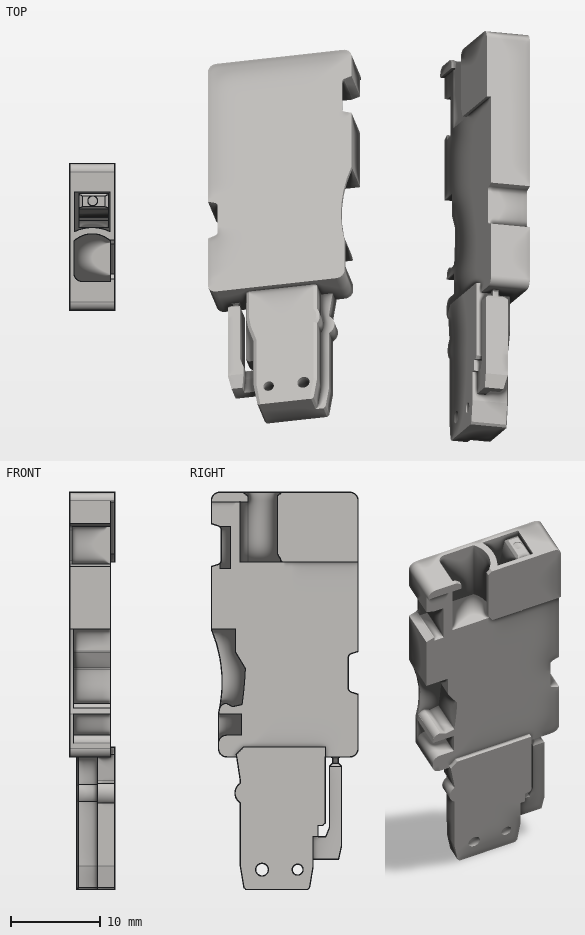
import cadquery as cq
import math


thickness = 5.1
depth = 16.5
height = 44.65

core_thickness = 4.6
housing_bottom = 14.9
corner_radius = 0.95
lower_front = 0.8
hollow_top = 29.25
hollow_bottom = 19.75
hollow_middle = (1.2, 24.0)

notch_depth = 1.1
notch_mouth = 4.8
notch_taper = 0.35
notch_radius = 0.45
front_notch_z = 38.7
back_notch_z = 24.35
notch_skin = 0.3
deep_notch_depth = 2.15
deep_notch_height = 4.2
groove_front = 1.0
groove_floor = 36.1

skin = 0.45
recess_throat = 2.7
throat_z = 26.7
recess_deep = 3.83
deep_z = 24.85
recess_wall_bow = 0.05
recess_back = 3.46
recess_bend_radius = 0.35
rib_top = 20.8
rib_groove = (2.4, 20.55)
rib_shoulder = (1.75, 20.9)
rib_brow = (1.2, 20.75)
rib_nose = (0.95, 20.4)
lower_recess_back = 3.4
lower_recess_floor = 17.35
lower_recess_lip = 16.4
lower_recess_roll = 0.9

scoop_left = 0.5
scoop_right = core_thickness
scoop_front = 3.25
scoop_shoulder = 7.8
scoop_crown = 8.6
scoop_corner_radius = 0.9
scoop_floor = 36.8

rim_height = 1.1
rib_top_front = 7.9
rib_top_drop = 0.4
rib_front = 7.45
lip_tab_start = 3.55
lip_tab_end = 4.1
lip_tab_drop = 0.45
rib_foot_slope = 0.5
rib_foot_height = 0.9

pocket_left = 0.55
pocket_right = 4.55
pocket_back = 13.3
pocket_front = 8.85
pocket_front_crown = 9.3
pocket_floor = 38.0

block_left = 1.05
block_right = 4.4
block_back = 13.1
block_front = 11.4
block_top = 44.6
block_edge_bevel = 0.25
block_edge_drop = 0.35
block_slope_foot = 10.75
block_slope_z = 41.0
valley_back = 10.45
valley_front = 10.1
valley_z = 39.3
block_foot_front = 9.3
block_foot_z = 39.9
block_side_chamfer = 0.4
block_side_drop = 0.25
screw_diameter = 1.1
screw_depth = 0.1
screw_x = 2.6
screw_y = 12.3

leaf_left = 0.8
leaf_split = 3.15
narrow_front = 4.17
narrow_back = 12.3
wide_front = 3.25
wide_back = 12.8
waist_back = 11.45
waist_top = 8.4
shoulder_bottom = 11.5
shoulder_bend_y = 12.1
shoulder_bend_z = 10.3
leaf_tip_start = 2.65
tip_inset = 0.4
tip_back = 11.05
tip_blunting = 0.25
bump_z = 10.85
narrow_bump_half = 0.95
narrow_bump_rise = 0.3
wide_bump_half = 1.1
wide_bump_rise = 0.6
bump_lead = 0.3
edge_chamfer_x = 0.2
edge_chamfer_y = 0.35
shelf_height = 1.1
shelf_front = 2.8
shelf_slope = 0.8
slot_front = 12.0
slot_top = 7.2
slot_bevel = 0.3

hole_z = 2.25
small_hole_y = 9.7
small_hole_diameter = 1.2
large_hole_y = 5.7
large_hole_diameter = 1.4

pin_left = 2.0
pin_right = 4.6
pin_front = 13.25
pin_back = 14.65
pin_top = 14.2
pin_top_bevel = 0.35
pin_bottom = 3.4
pin_foot_front = 12.85
pin_foot_lean = 0.2
pin_flare_height = 1.0
pin_taper_height = 1.55
pin_taper_y = 0.35
pin_taper_x = 0.4
neck_width = 0.65
neck_flare = 0.15
arm_top = 5.95
arm_front = 11.0

overlap = 0.6


def profile(points):
    """Closed straight-sided outline in the YZ plane."""
    return cq.Workplane("YZ").polyline(points).close()


def slab(points, x_start, x_end):
    """Outline in YZ extruded from x_start to x_end."""
    return profile(points).extrude(x_end - x_start).translate((x_start, 0, 0))


def box(x_range, y_range, z_range):
    size = [end - start for start, end in (x_range, y_range, z_range)]
    corner = (x_range[0], y_range[0], z_range[0])
    return cq.Workplane("XY").box(*size, centered=False).translate(corner)


def latch_notch(edge_y, inward, middle_z):
    """Tapered notch; inward is +1 on the front edge and -1 on the back edge."""
    half_mouth = notch_mouth / 2
    half_floor = half_mouth - notch_taper
    floor_y = edge_y + inward * notch_depth
    points = [
        (edge_y, middle_z - half_mouth),
        (floor_y, middle_z - half_floor),
        (floor_y, middle_z + half_floor),
        (edge_y, middle_z + half_mouth),
    ]
    floor_side = ">Y" if inward > 0 else "<Y"
    return slab(points, 0, thickness).faces(floor_side).edges("|X").fillet(notch_radius)


def housing_blank():
    outline = (
        cq.Workplane("YZ")
        .moveTo(0, height)
        .lineTo(0, hollow_top)
        .threePointArc(hollow_middle, (lower_front, hollow_bottom))
        .lineTo(lower_front, housing_bottom)
        .lineTo(depth, housing_bottom)
        .lineTo(depth, height)
        .close()
    )
    blank = outline.extrude(thickness)
    blank = blank.faces("<Z or >Z").edges("|X").fillet(corner_radius)
    blank = blank.cut(latch_notch(0, 1, front_notch_z))
    return blank.cut(latch_notch(depth, -1, back_notch_z))


def deep_notch():
    """Deeper floor of the front notch, open on the +X side."""
    z_range = (front_notch_z - deep_notch_height / 2, front_notch_z + deep_notch_height / 2)
    pocket = box((notch_skin, thickness), (0, deep_notch_depth), z_range)
    groove = box((notch_skin, thickness), (groove_front, deep_notch_depth), (groove_floor, front_notch_z))
    return pocket.union(groove)


def side_relief():
    """Material taken off the +X side, leaving the top rim and the rib behind the scoop."""
    rim_bottom = height - rim_height
    points = [
        (0, housing_bottom),
        (0, rim_bottom),
        (lip_tab_end, rim_bottom),
        (lip_tab_end, height - lip_tab_drop),
        (lip_tab_start, height),
        (rib_top_front, height),
        (rib_front, height - rib_top_drop),
        (rib_front, scoop_floor + rib_foot_height),
        (rib_front + rib_foot_slope, scoop_floor),
        (depth, scoop_floor),
        (depth, housing_bottom),
    ]
    return slab(points, core_thickness, thickness)


def upper_recess():
    """Finger recess that narrows to a throat, with the grip rib as its floor."""
    wall_middle_y = (recess_deep + recess_back) / 2 + recess_wall_bow
    wall_middle = (wall_middle_y, (deep_z + rib_top) / 2)
    outline = (
        cq.Workplane("YZ")
        .moveTo(0, hollow_top)
        .lineTo(recess_throat, hollow_top)
        .lineTo(recess_throat, throat_z)
        .lineTo(recess_deep, deep_z)
        .threePointArc(wall_middle, (recess_back, rib_top))
        .lineTo(*rib_groove)
        .lineTo(*rib_shoulder)
        .threePointArc(rib_brow, rib_nose)
        .lineTo(0, rib_nose[1])
        .close()
    )
    cutter = outline.extrude(thickness - skin).translate((skin, 0, 0))
    middle_x = (skin + thickness) / 2
    for bend in ((recess_throat, throat_z), (recess_deep, deep_z)):
        edge = cq.selectors.NearestToPointSelector((middle_x, *bend))
        cutter = cutter.edges(edge).fillet(recess_bend_radius)
    return cutter


def lower_recess():
    """Recess below the grip rib, its floor rolling down to the lip."""
    roll_end = lower_front + lower_recess_roll
    roll_height = lower_recess_floor - lower_recess_lip
    mid_angle = math.radians(45)
    roll_middle = (
        roll_end - lower_recess_roll * math.sin(mid_angle),
        lower_recess_lip + roll_height * math.cos(mid_angle),
    )
    outline = (
        cq.Workplane("YZ")
        .moveTo(0, hollow_bottom)
        .lineTo(lower_recess_back, hollow_bottom)
        .lineTo(lower_recess_back, lower_recess_floor)
        .lineTo(roll_end, lower_recess_floor)
        .threePointArc(roll_middle, (lower_front, lower_recess_lip))
        .lineTo(0, lower_recess_lip)
        .close()
    )
    return outline.extrude(thickness - skin).translate((skin, 0, 0))


def scoop():
    middle_x = (scoop_left + scoop_right) / 2
    outline = (
        cq.Workplane("XY")
        .moveTo(scoop_right, scoop_front)
        .lineTo(scoop_right, scoop_shoulder)
        .threePointArc((middle_x, scoop_crown), (scoop_left, scoop_shoulder))
        .lineTo(scoop_left, scoop_front)
        .close()
    )
    cutter = outline.extrude(height - scoop_floor).translate((0, 0, scoop_floor))
    return cutter.edges("|Z and <X and <Y").fillet(scoop_corner_radius)


def terminal_pocket():
    middle_x = (pocket_left + pocket_right) / 2
    outline = (
        cq.Workplane("XY")
        .moveTo(pocket_left, pocket_back)
        .lineTo(pocket_left, pocket_front)
        .threePointArc((middle_x, pocket_front_crown), (pocket_right, pocket_front))
        .lineTo(pocket_right, pocket_back)
        .close()
    )
    return outline.extrude(height - pocket_floor).translate((0, 0, pocket_floor))


def clamp_block():
    points = [
        (block_back, pocket_floor - overlap),
        (block_back, block_top - block_edge_drop),
        (block_back - block_edge_bevel, block_top),
        (block_front + block_edge_bevel, block_top),
        (block_front, block_top - block_edge_drop),
        (block_slope_foot, block_slope_z),
        (valley_back, valley_z),
        (valley_front, valley_z),
        (block_foot_front, block_foot_z),
        (block_foot_front, pocket_floor - overlap),
    ]
    block = slab(points, block_left, block_right)
    for side_x, inward in ((block_left, 1), (block_right, -1)):
        bevel_points = [
            (side_x, block_top),
            (side_x + inward * block_side_chamfer, block_top),
            (side_x, block_top - block_side_drop),
        ]
        block = block.cut(cq.Workplane("XZ").polyline(bevel_points).close().extrude(-depth))
    screw = (
        cq.Workplane("XY", origin=(screw_x, screw_y, block_top))
        .circle(screw_diameter / 2)
        .extrude(-screw_depth)
    )
    return block.cut(screw)


def leaf(x_range, front_points, bump, tip, back_points):
    """Leaf with a rounded latch bump on its front edge and a blunted tip.

    front_points lead down to the bump and back_points lead up from the tip;
    bump is (front edge, mid height, half length, rise) and tip is (front, back).
    """
    front, middle_z, half_length, rise = bump
    tip_front, tip_back = tip
    outline = cq.Workplane("YZ").polyline(front_points)
    outline = (
        outline.lineTo(front, middle_z + half_length)
        .threePointArc((front - rise, middle_z), (front, middle_z - half_length))
        .lineTo(front, leaf_tip_start)
        .lineTo(tip_front, tip_blunting)
        .lineTo(tip_front + tip_blunting, 0)
        .lineTo(tip_back - tip_blunting, 0)
        .lineTo(tip_back, tip_blunting)
    )
    for point in back_points:
        outline = outline.lineTo(*point)
    x_start, x_end = x_range
    return outline.close().extrude(x_end - x_start).translate((x_start, 0, 0))


def narrow_leaf():
    top = housing_bottom + overlap
    back_points = [
        (waist_back, leaf_tip_start),
        (waist_back, waist_top),
        (shoulder_bend_y, shoulder_bend_z),
        (narrow_back, shoulder_bottom),
        (narrow_back, top),
    ]
    bump = (narrow_front, bump_z, narrow_bump_half, narrow_bump_rise)
    blank = leaf(
        (leaf_left, leaf_split),
        [(narrow_front, top), (narrow_front, shoulder_bottom)],
        bump,
        (narrow_front + tip_inset, tip_back),
        back_points,
    )
    sides = cq.selectors.BoxSelector((0, 0, tip_blunting), (thickness, depth, housing_bottom))
    return blank.faces("<X").edges(sides).chamfer(edge_chamfer_x, edge_chamfer_y)


def wide_leaf():
    shelf_top = housing_bottom + shelf_height
    back_points = [
        (waist_back, leaf_tip_start),
        (waist_back, arm_top),
        (slot_front, arm_top),
        (slot_front, slot_top),
        (wide_back - slot_bevel, slot_top),
        (wide_back, slot_top + slot_bevel),
        (wide_back, shelf_top),
    ]
    front_points = [
        (shelf_front + shelf_slope, shelf_top),
        (shelf_front, shelf_top - shelf_slope),
        (wide_front, bump_z + wide_bump_half + bump_lead),
    ]
    bump = (wide_front, bump_z, wide_bump_half, wide_bump_rise)
    return leaf(
        (leaf_split, thickness),
        front_points,
        bump,
        (wide_front + tip_inset, tip_back),
        back_points,
    )


def plug_holes():
    holes = None
    for hole_y, diameter in ((small_hole_y, small_hole_diameter), (large_hole_y, large_hole_diameter)):
        hole = cq.Workplane("YZ", origin=(0, hole_y, hole_z)).circle(diameter / 2).extrude(thickness)
        holes = hole if holes is None else holes.union(hole)
    return holes


def beveled_foot(points, x_start):
    """Outline in YZ extruded to the pin's +X side, its foot sloping in from the -X side."""
    foot = slab(points, x_start, pin_right)
    bevel = (
        cq.Workplane("XZ")
        .polyline(
            [
                (x_start, pin_bottom),
                (x_start, pin_bottom + pin_taper_height),
                (x_start + pin_taper_x, pin_bottom),
            ]
        )
        .close()
        .extrude(-depth)
    )
    return foot.cut(bevel)


def contact_pin():
    taper_z = pin_bottom + pin_taper_height
    pin = beveled_foot(
        [
            (pin_back - pin_taper_y, pin_bottom),
            (pin_back, taper_z),
            (pin_back, pin_top),
            (pin_front, pin_top),
            (pin_front, arm_top + pin_flare_height),
            (pin_foot_front, arm_top),
            (pin_foot_front, taper_z),
            (pin_foot_front + pin_foot_lean, pin_bottom),
        ],
        pin_left,
    )
    pin = pin.faces(">Z").edges().chamfer(pin_top_bevel)
    arm_back = (pin_front + pin_back) / 2
    arm = beveled_foot(
        [
            (arm_front, pin_bottom),
            (arm_back, pin_bottom),
            (arm_back, arm_top),
            (arm_front, arm_top),
        ],
        leaf_split,
    )
    return pin.union(arm).union(pin_neck())


def pin_neck():
    """Square neck, widening where it meets the housing."""
    middle_x = (pin_left + pin_right) / 2
    middle_y = (pin_front + pin_back) / 2
    half = neck_width / 2
    flared_half = half + neck_flare
    points = [
        (middle_y - half, pin_top - overlap),
        (middle_y - half, housing_bottom - neck_flare),
        (middle_y - flared_half, housing_bottom),
        (middle_y - flared_half, housing_bottom + overlap),
        (middle_y + flared_half, housing_bottom + overlap),
        (middle_y + flared_half, housing_bottom),
        (middle_y + half, housing_bottom - neck_flare),
        (middle_y + half, pin_top - overlap),
    ]
    return slab(points, middle_x - half, middle_x + half)


body = housing_blank().cut(deep_notch()).cut(side_relief()).cut(upper_recess()).cut(lower_recess())
body = body.cut(scoop()).cut(terminal_pocket()).union(clamp_block())
plug = narrow_leaf().union(wide_leaf()).union(contact_pin()).cut(plug_holes())
result = body.union(plug)